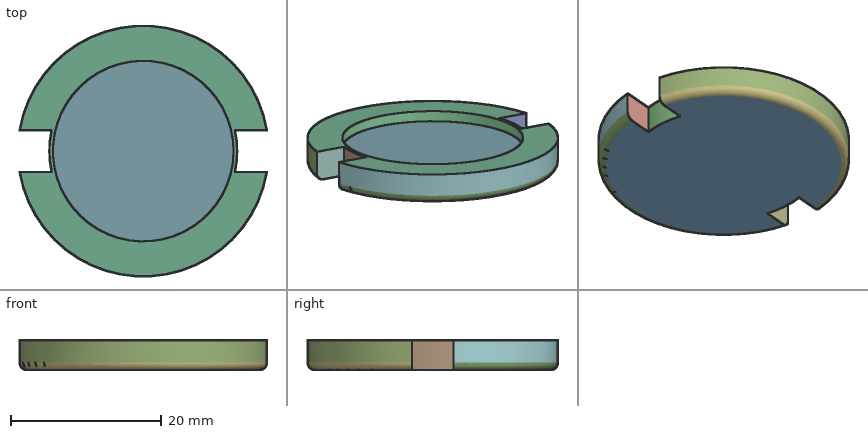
import cadquery as cq

outer_diameter = 33.3
thickness = 4.0
bottom_fillet = 1.0

recess_diameter = 23.97
recess_depth = 1.4

notch_width = 5.53
notch_floor_diameter = 24.97


def make_plate():
    """Disc with its lower rim rounded."""
    disc = cq.Workplane("XY").circle(outer_diameter / 2).extrude(thickness)
    return disc.faces("<Z").edges().fillet(bottom_fillet)


def make_recess():
    """Cutter for the shallow recess."""
    floor = cq.Workplane("XY").workplane(offset=thickness - recess_depth)
    return floor.circle(recess_diameter / 2).extrude(recess_depth)


def make_notches():
    """Cutter for both through notches: a bar across the disc minus its round core."""
    bar = cq.Workplane("XY").rect(outer_diameter, notch_width).extrude(thickness)
    core = cq.Workplane("XY").circle(notch_floor_diameter / 2).extrude(thickness)
    return bar.cut(core)


result = make_plate().cut(make_recess()).cut(make_notches())